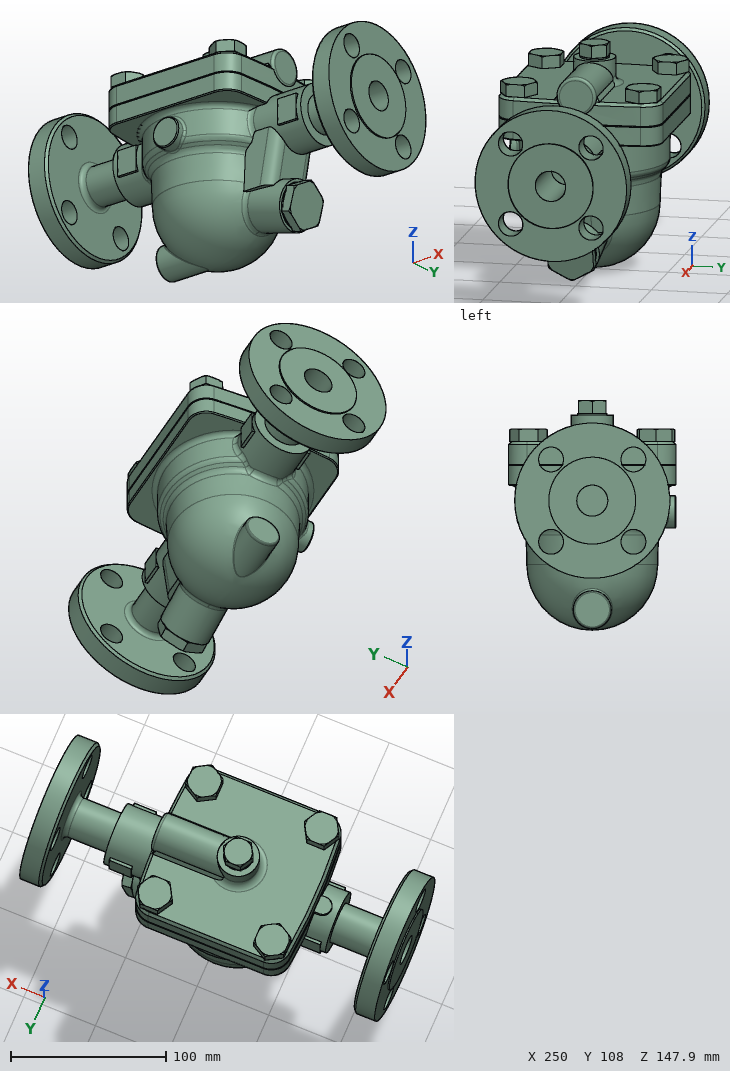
import cadquery as cq
import math

BODY_X = -7.8

MARGIN = 0.2

LENGTH = 250.0
FLANGE_DIA = 100.0
FLANGE_THICKNESS = 15.0
FLANGE_CHAMFER = 1.8
RAISED_FACE_DIA = 56.0
RAISED_FACE_HEIGHT = 1.0
FLANGE_HOLE_DIA = 16.0
FLANGE_HOLE_CIRCLE = 75.0
PIPE_DIA = 27.2
PIPE_FILLET = 3.5
BORE_DIA = 20.0

HUB_DIA = 42.0
HUB_END = 77.5
HUB_FILLET = 4.0
PAD_LENGTH = 15.5
PAD_HEIGHT = 18.0
PAD_X = 66.0
LUG_RADIUS = 6.0
LUG_X = -66.8
LUG_TOP = 23.0

BOWL_RADIUS = 42.2
BOWL_CENTER_Z = -41.2
BOWL_TOP_RADIUS = 43.0
STEP_TOP = -11.5
STEP_SLOPE_TOP = -15.5
STEP_SLOPE_BOTTOM = -17.5
STEP_BOTTOM = -22.2
STEP_ANGLE = math.radians(45)
STEP_TOP_FLARE = (STEP_TOP - STEP_SLOPE_TOP) * math.tan(STEP_ANGLE / 2)
STEP_SLOPE_FLARE = (STEP_SLOPE_TOP - STEP_SLOPE_BOTTOM) * math.tan(STEP_ANGLE)
STEP_BOTTOM_FLARE = (STEP_SLOPE_BOTTOM - STEP_BOTTOM) * math.tan(STEP_ANGLE / 2)
NECK_RADIUS = BOWL_TOP_RADIUS + STEP_BOTTOM_FLARE + STEP_SLOPE_FLARE + STEP_TOP_FLARE
NECK_FILLET = 3.5

COVER_HALF_DEPTH = 54.0
COVER_HALF_WIDTH = 55.5
COVER_CORNER_RADIUS = 13.2
CORNER_X = 40.2
CORNER_Y = COVER_HALF_DEPTH - COVER_CORNER_RADIUS
BODY_FLANGE_BOTTOM = 9.8
JOINT_Z = 23.2
COVER_TOP = 38.0
COVER_CHAMFER = 2.0
BODY_FLANGE_CHAMFER = 0.8
GASKET_THICKNESS = 0.8
GASKET_INSET = 0.2
BODY_FLANGE_TOP = JOINT_Z - GASKET_THICKNESS

BOLT_PITCH = 82.0
BOLT_FLATS = 21.0
BOLT_HEAD_TOP = 46.2
HEX_CHAMFER = 1.2

VENT_BOSS_DIA = 27.2
VENT_BOSS_TOP = 55.0
VENT_BOSS_FILLET = 5.0
VENT_COLLAR_DIA = 19.0
VENT_PLUG_BASE = 56.0
VENT_PLUG_FLATS = 18.0
VENT_PLUG_TOP = 64.5
CHANNEL_DIA = 26.0
CHANNEL_AXIS_Z = 41.0
CHANNEL_END = 48.2
CHANNEL_END_FILLET = 2.0
CHANNEL_FOOT = 2.0

SIDE_BOSS_DIA = 21.0
SIDE_BOSS_FILLET = 2.0
SIDE_BOSS_Z = -7.2
SIDE_BOSS_END = -54.0
LOW_BOSS_DIA = 24.5
LOW_BOSS_Z = -70.2
LOW_BOSS_END = -49.5
LOW_BOSS_FILLET = 1.0
BOSS_CHAMFER = 0.8

DRAIN_TILT = 15.0
DRAIN_DIA = 35.0
DRAIN_BOSS_LENGTH = 68.0
DRAIN_END = 76.0
DRAIN_COLLAR_DIA = 31.0
DRAIN_COLLAR_END = 69.0
DRAIN_PLUG_FLATS = 30.0
DRAIN_FILLET = 3.8
RIB_HALF_THICKNESS = 19.5
RIB_TOP_X = 60.0
RIB_TOP_Z = 0.0
RIB_BOTTOM_X = 51.2
RIB_BOTTOM_Z = -47.5
RIB_EDGE_RADIUS = 8.5


def x_cylinder(diameter, x_start, x_end, z=0.0):
    """Cylinder parallel to X."""
    circle = cq.Workplane("YZ", origin=(x_start, 0, z)).circle(diameter / 2)
    return circle.extrude(x_end - x_start)


def z_cylinder(diameter, x, y, z_start, z_end):
    """Cylinder parallel to Z."""
    return cq.Workplane("XY", origin=(x, y, z_start)).circle(diameter / 2).extrude(z_end - z_start)


def hexagon_head(plane, flats, height, turn):
    """Hexagon head on a plane, with its outer corners chamfered."""
    corners = flats / math.cos(math.pi / 6)
    turned = plane.rotated((0, 0, turn))
    head = cq.Workplane(turned).polygon(6, corners).extrude(height)
    envelope = cq.Workplane(turned).circle(corners / 2).extrude(height)
    envelope = envelope.faces(cq.selectors.DirectionMinMaxSelector(plane.zDir, True))
    return head.intersect(envelope.chamfer(HEX_CHAMFER / 2, HEX_CHAMFER))


def cover_outline(inset=0.0):
    """Outline of the cover: rounded corners, straight front and back, bulging sides."""
    corner = COVER_CORNER_RADIUS - inset
    half_depth = COVER_HALF_DEPTH - inset
    half_width = COVER_HALF_WIDTH - inset
    gap = half_width - CORNER_X
    side_radius = (CORNER_Y**2 + gap**2 - corner**2) / (2 * (gap - corner))
    angle = math.asin(CORNER_Y / (side_radius - corner))
    side_x = CORNER_X + corner * math.cos(angle)
    side_y = CORNER_Y + corner * math.sin(angle)
    mid_angle = (angle + math.pi / 2) / 2
    mid_x = CORNER_X + corner * math.cos(mid_angle)
    mid_y = CORNER_Y + corner * math.sin(mid_angle)
    return (
        cq.Sketch()
        .segment((-CORNER_X, half_depth), (CORNER_X, half_depth))
        .arc((CORNER_X, half_depth), (mid_x, mid_y), (side_x, side_y))
        .arc((side_x, side_y), (half_width, 0), (side_x, -side_y))
        .arc((side_x, -side_y), (mid_x, -mid_y), (CORNER_X, -half_depth))
        .segment((CORNER_X, -half_depth), (-CORNER_X, -half_depth))
        .arc((-CORNER_X, -half_depth), (-mid_x, -mid_y), (-side_x, -side_y))
        .arc((-side_x, -side_y), (-half_width, 0), (-side_x, side_y))
        .arc((-side_x, side_y), (-mid_x, mid_y), (-CORNER_X, half_depth))
        .assemble()
    )


def cover_plate(z_start, z_end, inset=0.0):
    """Plate with the outline of the cover."""
    base = cq.Workplane("XY", origin=(BODY_X, 0, z_start))
    return base.placeSketch(cover_outline(inset)).extrude(z_end - z_start)


def make_bowl():
    """Revolved bowl: hemisphere, short tapered wall, rounded step and straight neck."""
    profile = (
        cq.Workplane("XZ", origin=(BODY_X, 0, 0))
        .moveTo(0, BODY_FLANGE_TOP)
        .lineTo(NECK_RADIUS, BODY_FLANGE_TOP)
        .lineTo(NECK_RADIUS, STEP_TOP)
        .tangentArcPoint((NECK_RADIUS - STEP_TOP_FLARE, STEP_SLOPE_TOP), relative=False)
        .lineTo(BOWL_TOP_RADIUS + STEP_BOTTOM_FLARE, STEP_SLOPE_BOTTOM)
        .tangentArcPoint((BOWL_TOP_RADIUS, STEP_BOTTOM), relative=False)
        .lineTo(BOWL_RADIUS, BOWL_CENTER_Z)
        .radiusArc((0, BOWL_CENTER_Z - BOWL_RADIUS), BOWL_RADIUS)
        .close()
    )
    return profile.revolve(360, (0, 0, 0), (0, 1, 0))


def make_body_flange():
    """Bolted flange of the body, with the round flare that leads into the neck."""
    plate = cover_plate(BODY_FLANGE_BOTTOM, BODY_FLANGE_TOP)
    plate = plate.faces("<Z").chamfer(BODY_FLANGE_CHAMFER)
    flare_radius = NECK_RADIUS + NECK_FILLET
    flare = (
        cq.Workplane("XZ", origin=(BODY_X, 0, 0))
        .moveTo(0, BODY_FLANGE_TOP)
        .lineTo(flare_radius, BODY_FLANGE_TOP)
        .lineTo(flare_radius, BODY_FLANGE_BOTTOM)
        .radiusArc((NECK_RADIUS, BODY_FLANGE_BOTTOM - NECK_FILLET), -NECK_FILLET)
        .lineTo(0, BODY_FLANGE_BOTTOM - NECK_FILLET)
        .close()
        .revolve(360, (0, 0, 0), (0, 1, 0))
    )
    return plate.union(flare)


def make_rib():
    """Leaning rib that joins the outlet hub to the drain boss."""
    return (
        cq.Workplane("XZ")
        .moveTo(BODY_X, RIB_TOP_Z)
        .lineTo(RIB_TOP_X, RIB_TOP_Z)
        .lineTo(RIB_BOTTOM_X, RIB_BOTTOM_Z)
        .lineTo(BODY_X, RIB_BOTTOM_Z)
        .close()
        .extrude(RIB_HALF_THICKNESS, both=True)
        .faces(">X")
        .edges("not |Y")
        .fillet(RIB_EDGE_RADIUS)
    )


def drain_plane(distance):
    """Plane across the drain axis, at a distance from the centre of the bowl."""
    tilt = math.radians(DRAIN_TILT)
    axis = cq.Vector(math.cos(tilt), 0, -math.sin(tilt))
    center = cq.Vector(BODY_X, 0, BOWL_CENTER_Z)
    return cq.Plane(center + axis * distance, (0, 1, 0), axis)


def make_drain_plug():
    """Hexagon plug on a round collar, at the end of the drain boss."""
    collar_base = drain_plane(DRAIN_BOSS_LENGTH)
    collar = cq.Workplane(collar_base).circle(DRAIN_COLLAR_DIA / 2)
    collar = collar.extrude(DRAIN_COLLAR_END - DRAIN_BOSS_LENGTH)
    head_base = drain_plane(DRAIN_COLLAR_END)
    head = hexagon_head(head_base, DRAIN_PLUG_FLATS, DRAIN_END - DRAIN_COLLAR_END, 90)
    return collar.union(head)


def make_pipe_end():
    """Pipe with its drilled flange, on the -X side."""
    face_x = -LENGTH / 2
    front_x = face_x + RAISED_FACE_HEIGHT
    back_x = front_x + FLANGE_THICKNESS
    flange = x_cylinder(FLANGE_DIA, front_x, back_x).faces(">X").chamfer(FLANGE_CHAMFER)
    end = flange.union(x_cylinder(PIPE_DIA, front_x, BODY_X - NECK_RADIUS))
    pipe_span = span(0, PIPE_DIA / 2)
    end = end.edges(edges_within(span(back_x, 0), pipe_span, pipe_span)).fillet(PIPE_FILLET)
    end = end.union(x_cylinder(RAISED_FACE_DIA, face_x, front_x))
    holes = (
        cq.Workplane("YZ", origin=(face_x, 0, 0))
        .polarArray(FLANGE_HOLE_CIRCLE / 2, 45, 360, 4)
        .circle(FLANGE_HOLE_DIA / 2)
        .extrude(back_x - face_x)
    )
    return end.cut(holes)


def edges_within(x_range, y_range, z_range):
    """Selector of the edges that lie wholly within a box."""
    low = (x_range[0], y_range[0], z_range[0])
    high = (x_range[1], y_range[1], z_range[1])
    return cq.selectors.BoxSelector(low, high, boundingbox=True)


def span(center, half_length):
    """Range about a centre, a little wider than asked."""
    return (center - half_length - MARGIN, center + half_length + MARGIN)


def make_body():
    """Bowl with its hubs and bosses, blended at their roots, plus rib and flange."""
    body = make_bowl()

    body = body.union(x_cylinder(HUB_DIA, -HUB_END, HUB_END))
    hub_span = span(0, HUB_DIA / 2)
    for side in (-1, 1):
        root_x = span(BODY_X + side * (NECK_RADIUS - 5), 5)
        body = body.edges(edges_within(root_x, hub_span, hub_span)).fillet(HUB_FILLET)

    body = body.union(make_side_boss())
    root_y = span(-NECK_RADIUS + 3.8, 3.8)
    boss_x = span(BODY_X, SIDE_BOSS_DIA / 2)
    boss_z = span(SIDE_BOSS_Z, SIDE_BOSS_DIA / 2)
    body = body.edges(edges_within(boss_x, root_y, boss_z)).fillet(SIDE_BOSS_FILLET)

    body = body.union(make_low_boss())
    root_x = (BODY_X - BOWL_RADIUS, BODY_X)
    low_y = span(0, LOW_BOSS_DIA / 2)
    low_z = span(LOW_BOSS_Z, LOW_BOSS_DIA / 2)
    body = body.edges(edges_within(root_x, low_y, low_z)).fillet(LOW_BOSS_FILLET)

    body = body.union(cq.Workplane(drain_plane(0)).circle(DRAIN_DIA / 2).extrude(DRAIN_BOSS_LENGTH))
    root_x = (BODY_X + BOWL_RADIUS / 2, BODY_X + BOWL_RADIUS + 2.5)
    drain_z = (BOWL_CENTER_Z - BOWL_RADIUS, BOWL_CENTER_Z + DRAIN_DIA / 2)
    body = body.edges(edges_within(root_x, span(0, DRAIN_DIA / 2), drain_z)).fillet(DRAIN_FILLET)
    return body.union(make_rib()).union(make_body_flange())


def make_hub_details():
    """Wrench pads on both hubs and the flat lug on top of the inlet hub."""
    pad = cq.Workplane("XY").box(PAD_LENGTH, HUB_DIA, PAD_HEIGHT)
    pads = pad.translate((-PAD_X, 0, 0)).union(pad.translate((PAD_X, 0, 0)))
    lug_end = BODY_X - NECK_RADIUS
    lug = z_cylinder(2 * LUG_RADIUS, LUG_X, 0, 0, LUG_TOP)
    lug_bar = cq.Workplane("XY").box(lug_end - LUG_X, 2 * LUG_RADIUS, LUG_TOP, centered=(False, True, False))
    return pads.union(lug).union(lug_bar.translate((LUG_X, 0, 0)))


def make_side_boss():
    """Plain boss on the front of the neck."""
    base = cq.Workplane("XZ", origin=(BODY_X, 0, SIDE_BOSS_Z))
    return base.circle(SIDE_BOSS_DIA / 2).extrude(-SIDE_BOSS_END).faces("<Y").chamfer(BOSS_CHAMFER)


def make_low_boss():
    """Plain horizontal boss low on the inlet side of the bowl."""
    boss = x_cylinder(LOW_BOSS_DIA, LOW_BOSS_END, BODY_X, LOW_BOSS_Z)
    return boss.faces("<X").chamfer(BOSS_CHAMFER)


def make_cover():
    """Cover on its gasket, with the vent boss and the outlet channel on top."""
    gasket = cover_plate(BODY_FLANGE_TOP, JOINT_Z, GASKET_INSET)
    cover = cover_plate(JOINT_Z, COVER_TOP).faces(">Z").chamfer(COVER_CHAMFER)
    channel = x_cylinder(CHANNEL_DIA, BODY_X, CHANNEL_END, CHANNEL_AXIS_Z)
    channel = channel.faces(">X").fillet(CHANNEL_END_FILLET)
    foot_length = CHANNEL_END - CHANNEL_END_FILLET - BODY_X
    foot_slope = math.degrees(math.atan(CHANNEL_FOOT / (CHANNEL_AXIS_Z - COVER_TOP)))
    foot = (
        cq.Workplane("XY", origin=(BODY_X + foot_length / 2, 0, COVER_TOP))
        .rect(foot_length, CHANNEL_DIA + 2 * CHANNEL_FOOT)
        .extrude(CHANNEL_AXIS_Z - COVER_TOP, taper=foot_slope)
    )
    boss_radius = VENT_BOSS_DIA / 2
    boss = (
        cq.Workplane("XZ", origin=(BODY_X, 0, 0))
        .moveTo(0, COVER_TOP)
        .lineTo(boss_radius + VENT_BOSS_FILLET, COVER_TOP)
        .radiusArc((boss_radius, COVER_TOP + VENT_BOSS_FILLET), VENT_BOSS_FILLET)
        .lineTo(boss_radius, VENT_BOSS_TOP)
        .lineTo(0, VENT_BOSS_TOP)
        .close()
        .revolve(360, (0, 0, 0), (0, 1, 0))
    )
    return gasket.union(cover).union(channel).union(foot).union(boss)


def make_vent_plug():
    """Hexagon plug on a round collar, on the vent boss."""
    collar = z_cylinder(VENT_COLLAR_DIA, BODY_X, 0, VENT_BOSS_TOP, VENT_PLUG_BASE)
    base = cq.Plane((BODY_X, 0, VENT_PLUG_BASE))
    return collar.union(hexagon_head(base, VENT_PLUG_FLATS, VENT_PLUG_TOP - VENT_PLUG_BASE, 0))


def make_bolts():
    """Four cover bolt heads; diagonally opposite heads share the same turn."""
    bolts = cq.Workplane("XY")
    for side_x in (-1, 1):
        for side_y in (-1, 1):
            place = (BODY_X + side_x * BOLT_PITCH / 2, side_y * BOLT_PITCH / 2, COVER_TOP)
            turn = 0 if side_x == side_y else 90
            bolts = bolts.add(hexagon_head(cq.Plane(place), BOLT_FLATS, BOLT_HEAD_TOP - COVER_TOP, turn))
    return bolts.combine()


inlet_end = make_pipe_end()
outlet_end = inlet_end.mirror("YZ")
bore = x_cylinder(BORE_DIA, -LENGTH / 2, -HUB_END)

result = make_body()
for feature in (
    make_hub_details(),
    make_drain_plug(),
    make_cover(),
    make_vent_plug(),
    make_bolts(),
    inlet_end,
    outlet_end,
):
    result = result.union(feature)
result = result.cut(bore).cut(bore.mirror("YZ"))